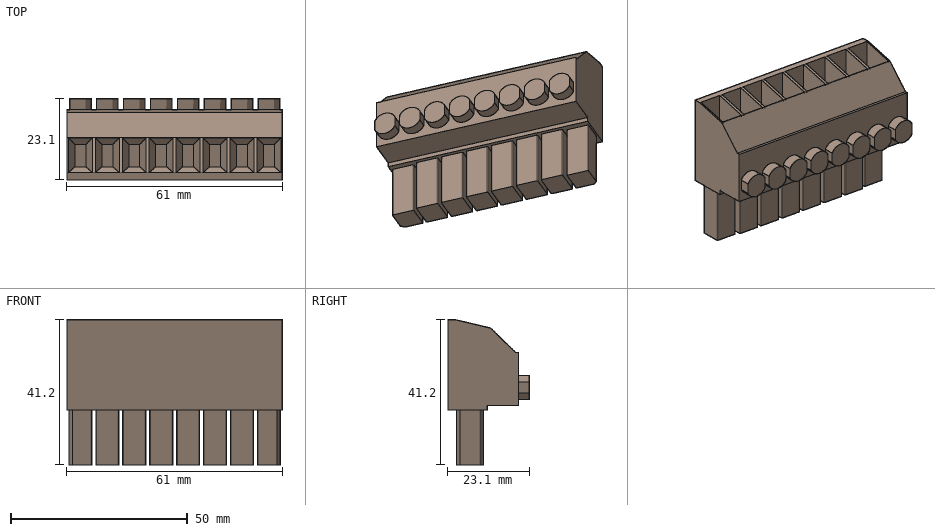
import cadquery as cq

pole_count = 8
pitch = 7.62
body_length = pole_count * pitch

body_depth = 20.0
body_bottom = 15.55
rear_bottom = 16.85
step_y = 11.2
rear_top = 31.9
rear_ledge = 0.83
ridge_y = 12.1
ridge_top = 38.8
front_land = 2.2
total_height = 41.15

mouth_width = 6.76
mouth_front = 2.15
mouth_back = 12.0
funnel_width = 3.1
funnel_front = 3.8
funnel_back = 10.1
funnel_top = 32.0
funnel_bottom = 28.8

boss_diameter = 6.85
boss_width = 6.15
boss_length = 3.1
boss_z = 21.95

leg_width = 6.55
leg_front = 2.4
leg_back = 10.1
end_leg_back = 9.45
leg_corner_radius = 0.28
row_end_chamfer = 1.0

joint_overlap = 0.5


def pole_center(pole):
    return (pole + 0.5) * pitch


def make_housing():
    outline = [
        (0, body_bottom),
        (step_y, body_bottom),
        (step_y, rear_bottom),
        (body_depth, rear_bottom),
        (body_depth, rear_top),
        (body_depth - rear_ledge, rear_top),
        (ridge_y, ridge_top),
        (front_land, total_height),
        (0, total_height),
    ]
    return cq.Workplane("YZ").polyline(outline).close().extrude(body_length)


def make_pocket(center_x):
    mouth_length = mouth_back - mouth_front
    mouth_y = (mouth_front + mouth_back) / 2
    funnel_length = funnel_back - funnel_front
    funnel_y = (funnel_front + funnel_back) / 2
    mouth = (
        cq.Workplane("XY", origin=(center_x, mouth_y, funnel_top))
        .rect(mouth_width, mouth_length)
        .extrude(total_height - funnel_top)
    )
    funnel = (
        cq.Workplane("XY", origin=(center_x, mouth_y, funnel_top))
        .rect(mouth_width, mouth_length)
        .workplane(offset=funnel_bottom - funnel_top)
        .center(0, funnel_y - mouth_y)
        .rect(funnel_width, funnel_length)
        .loft(ruled=True)
    )
    return mouth.union(funnel)


def make_boss(center_x):
    reach = boss_length + joint_overlap
    base_y = body_depth - joint_overlap
    cylinder = (
        cq.Workplane("XZ", origin=(center_x, base_y, boss_z))
        .circle(boss_diameter / 2)
        .extrude(-reach)
    )
    flats = (
        cq.Workplane("XZ", origin=(center_x, base_y, boss_z))
        .rect(boss_width, boss_diameter)
        .extrude(-reach)
    )
    return cylinder.intersect(flats)


def make_leg(pole):
    is_first = pole == 0
    is_last = pole == pole_count - 1
    rear_y = end_leg_back if is_first or is_last else leg_back
    leg = (
        cq.Workplane("XY", origin=(pole_center(pole), 0, 0))
        .moveTo(-leg_width / 2, leg_front)
        .lineTo(leg_width / 2, leg_front)
        .lineTo(leg_width / 2, rear_y)
        .lineTo(-leg_width / 2, rear_y)
        .close()
        .extrude(body_bottom + joint_overlap)
    )
    leg = leg.edges("|Z and >Y").fillet(leg_corner_radius)
    leg = finish_front_corner(leg, "|Z and <X and <Y", is_first)
    return finish_front_corner(leg, "|Z and >X and <Y", is_last)


def finish_front_corner(leg, corner, is_row_end):
    """Chamfer the outer corners of the row and round all the others."""
    if is_row_end:
        return leg.edges(corner).chamfer(row_end_chamfer)
    return leg.edges(corner).fillet(leg_corner_radius)


result = make_housing()
for pole in range(pole_count):
    result = result.cut(make_pocket(pole_center(pole)))
    result = result.union(make_boss(pole_center(pole)))
    result = result.union(make_leg(pole))